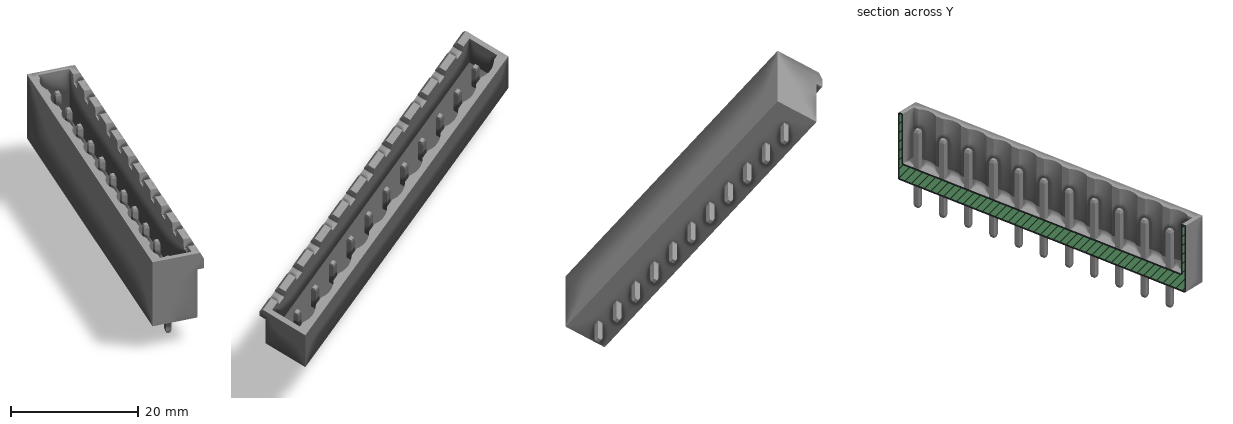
import cadquery as cq
import math

pin_count = 11
pitch = 5.08
pin_width = 1.0
pin_thickness = 0.9
pin_offset = 0.08
pin_tail = 4.0
pin_top_gap = 2.0
pin_tip_height = 0.5
pin_tip_inset = 0.15

length = 57.88
depth = 7.5
height = 12.0
front_y = -depth / 2
back_y = depth / 2

lip_overhang = 1.1
lip_height = 3.0
lip_chamfer_depth = 0.6
lip_chamfer_height = 1.2

end_wall = 0.8
rear_wall = 0.7
front_wall = 1.55
pocket_floor_z = 3.0

scallop_width = 3.6
scallop_depth = 0.55

notch_top_width = 2.15
notch_floor_width = 1.5
notch_depth = 1.5

pin_positions = [(i - (pin_count - 1) / 2) * pitch for i in range(pin_count)]


def make_housing():
    """Solid block with the latching lip, extruded along X from its end profile."""
    lip_y = back_y + lip_overhang
    profile = [
        (front_y, 0),
        (back_y, 0),
        (back_y, height - lip_height),
        (lip_y, height - lip_height),
        (lip_y, height - lip_chamfer_height),
        (lip_y - lip_chamfer_depth, height),
        (front_y, height),
    ]
    return cq.Workplane("YZ").polyline(profile).close().extrude(length / 2, both=True)


def make_pocket():
    """Pocket volume whose front side bulges out in one arc per pin."""
    half_length = length / 2 - end_wall
    inner_front_y = front_y + front_wall
    inner_back_y = back_y - rear_wall
    outline = cq.Workplane("XY", origin=(0, 0, pocket_floor_z))
    outline = outline.moveTo(-half_length, inner_back_y).lineTo(-half_length, inner_front_y)
    for x in pin_positions:
        outline = outline.lineTo(x - scallop_width / 2, inner_front_y)
        outline = outline.threePointArc(
            (x, inner_front_y - scallop_depth),
            (x + scallop_width / 2, inner_front_y),
        )
    outline = outline.lineTo(half_length, inner_front_y).lineTo(half_length, inner_back_y)
    return outline.close().extrude(height - pocket_floor_z)


def make_notch(x):
    """Trapezoidal cutter running from the pin row out past the lip."""
    floor_z = height - notch_depth
    section = [
        (x - notch_floor_width / 2, floor_z),
        (x + notch_floor_width / 2, floor_z),
        (x + notch_top_width / 2, height),
        (x - notch_top_width / 2, height),
    ]
    plane = cq.Workplane("XZ")
    return plane.polyline(section).close().extrude(-(back_y + lip_overhang))


def make_pin(x):
    """Rectangular pin with tapered tips at both ends."""
    bottom_z = -pin_tail
    shaft_length = height - pin_top_gap + pin_tail - 2 * pin_tip_height
    taper = math.degrees(math.atan2(pin_tip_inset, pin_tip_height))
    shaft = cq.Workplane("XY", origin=(x, pin_offset, bottom_z + pin_tip_height))
    shaft = shaft.rect(pin_width, pin_thickness).extrude(shaft_length)
    upper_tip = shaft.faces(">Z").wires().toPending().workplane().extrude(pin_tip_height, taper=taper)
    return upper_tip.faces("<Z").wires().toPending().workplane().extrude(pin_tip_height, taper=taper)


result = make_housing().cut(make_pocket())
for pin_x in pin_positions:
    result = result.cut(make_notch(pin_x))
for pin_x in pin_positions:
    result = result.union(make_pin(pin_x))